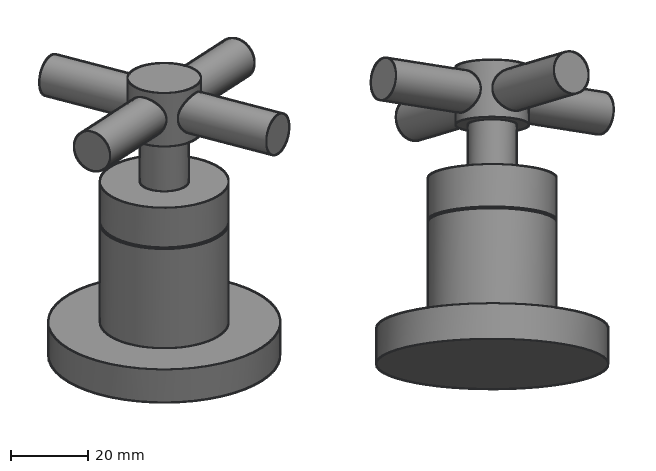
import cadquery as cq

total_height = 78.8
arm_span = 69.8

flange_diameter = 60.3
body_diameter = 33.5
neck_diameter = 10.4
stem_diameter = 12.8
hub_diameter = 19.1
arm_diameter = 11.2

flange_height = 9.45
body_height = 28.2
gap_height = 0.5
collar_height = 11.3
hub_height = 15.2
stem_height = total_height - flange_height - body_height - gap_height - collar_height - hub_height

arm_center_z = total_height - hub_height / 2


def stack_discs(discs):
    """Stack coaxial discs upward from Z = 0, each given as (diameter, height)."""
    stack = cq.Workplane("XY")
    base_z = 0
    for diameter, height in discs:
        disc = cq.Workplane("XY", origin=(0, 0, base_z)).circle(diameter / 2).extrude(height)
        stack = stack.union(disc) if base_z > 0 else disc
        base_z += height
    return stack


def cross_bar(plane):
    """Round bar through the hub, centred on the axis and normal to the plane."""
    center = cq.Workplane(plane, origin=(0, 0, arm_center_z))
    return center.circle(arm_diameter / 2).extrude(arm_span / 2, both=True)


result = stack_discs([
    (flange_diameter, flange_height),
    (body_diameter, body_height),
    (neck_diameter, gap_height),
    (body_diameter, collar_height),
    (stem_diameter, stem_height),
    (hub_diameter, hub_height),
])

for plane in ("YZ", "XZ"):
    result = result.union(cross_bar(plane))